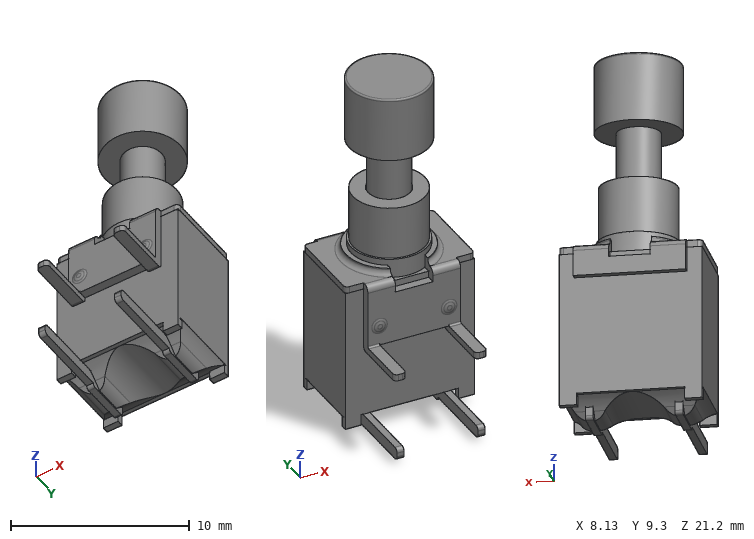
import cadquery as cq
import math

DIAGONAL = math.sqrt(0.5)

total_height = 21.22
sheet = 0.4

case_x = 8.13
case_y = 5.1
case_bottom = 1.2
case_top = 9.46
foot_bottom = 0.53
foot_x = 1.0
foot_y = sheet
case_front = -case_y / 2
case_back = case_y / 2

flange_diameter = 4.77
flange_top = 10.65
bushing_diameter = 4.52
bushing_top = 13.95
bore_diameter = 2.63

rod_diameter = 2.55
cap_diameter = 5.0
cap_bottom = 17.23
cap_rounding = 0.1

plate_top = case_top + sheet
plate_corner_radius = 0.25
collar_diameter = 5.43
collar_top = plate_top + sheet
collar_fillet = 0.32
slot_width = 2.35
slot_bottom = case_top - sheet
apron_width = 5.84
apron_thickness = 0.53
apron_front = case_front - apron_thickness
tab_width = 6.39
tab_bottom = 8.05
tab_back = case_back + sheet
front_bend_radius = 0.4
back_bend_radius = 0.35

leg_tip = -6.35
leg_pitch = 5.1
leg_width = 0.75
leg_top = 5.85
leg_bottom = leg_top - sheet
leg_heel_radius = 0.25
leg_root_radius = 0.1
tip_radius = 0.25
pin_thickness = 0.45
pin_bottom = 0.21
pin_top = pin_bottom + leg_width
pin_foot_length = 2.97
pin_foot_radius = 0.21

bump_pitch = 4.37
bump_z = 7.1
bump_base_radius = 0.49
bump_middle_radius = 0.35
bump_top_radius = 0.15
bump_height = 0.08
bump_middle_height = 0.05

mound_base_y = 2.3
mound_waist_y = 1.3
mound_crest_y = 0.83
mound_waist_x = 0.87
mound_crest_z = 0.08
flank_mid_rise = 0.6


def block(x_size, y_min, y_max, z_min, z_max, x_center=0.0):
    """Box centred on x_center in X, with its Y and Z limits given."""
    box = cq.Workplane("XY").box(x_size, y_max - y_min, z_max - z_min)
    return box.translate((x_center, (y_min + y_max) / 2, (z_min + z_max) / 2))


def cylinder(diameter, z_min, z_max):
    return cq.Workplane("XY").workplane(offset=z_min).circle(diameter / 2).extrude(z_max - z_min)


def make_sealing():
    """Two mounds round the pins, joined by a plug in the bottom of the case."""
    half_pitch = leg_pitch / 2
    outer_waist = half_pitch + mound_waist_x
    inner_waist = half_pitch - mound_waist_x
    case_edge = case_x / 2
    rise = case_bottom - foot_bottom
    flank_mid_z = foot_bottom + flank_mid_rise * rise
    flank_mid_x = (outer_waist + case_edge) / 2
    end_mid_y = (mound_waist_y + mound_base_y) / 2

    plug_half = case_x / 2 - foot_x
    plug_top = case_bottom + sheet

    cross_section = (
        cq.Workplane("XZ")
        .moveTo(-inner_waist, foot_bottom)
        .threePointArc((0, case_bottom), (inner_waist, foot_bottom))
        .threePointArc((half_pitch, mound_crest_z), (outer_waist, foot_bottom))
        .threePointArc((flank_mid_x, flank_mid_z), (case_edge, case_bottom))
        .lineTo(plug_half, case_bottom)
        .lineTo(plug_half, plug_top)
        .lineTo(-plug_half, plug_top)
        .lineTo(-plug_half, case_bottom)
        .lineTo(-case_edge, case_bottom)
        .threePointArc((-flank_mid_x, flank_mid_z), (-outer_waist, foot_bottom))
        .threePointArc((-half_pitch, mound_crest_z), (-inner_waist, foot_bottom))
        .close()
        .extrude(mound_base_y, both=True)
    )
    long_section = (
        cq.Workplane("YZ")
        .moveTo(-mound_crest_y, mound_crest_z)
        .lineTo(mound_crest_y, mound_crest_z)
        .lineTo(mound_waist_y, foot_bottom)
        .threePointArc((end_mid_y, flank_mid_z), (mound_base_y, case_bottom))
        .lineTo(mound_base_y, plug_top)
        .lineTo(-mound_base_y, plug_top)
        .lineTo(-mound_base_y, case_bottom)
        .threePointArc((-end_mid_y, flank_mid_z), (-mound_waist_y, foot_bottom))
        .close()
        .extrude(case_edge, both=True)
    )
    return cross_section.intersect(long_section)


def make_pin(x):
    """Flat pin lying along Y, with a deeper foot under the case."""
    foot_half = pin_foot_length / 2
    arm = block(pin_thickness, leg_tip, foot_half, pin_bottom, pin_top, x)
    arm = arm.faces("<Y").edges("|X").fillet(tip_radius)
    foot = block(pin_thickness, -foot_half, foot_half, 0, pin_top, x)
    foot = foot.faces("<Z").edges("|X").fillet(pin_foot_radius)
    return arm.union(foot)


def make_case():
    case = block(case_x, case_front, case_back, foot_bottom, case_top)
    gap_x = case_x - 2 * foot_x
    gap_y = case_y / 2 - foot_y
    case = case.cut(block(gap_x, case_front, case_back, foot_bottom, case_bottom))
    case = case.cut(block(case_x, -gap_y, gap_y, foot_bottom, case_bottom))
    case = case.union(cylinder(flange_diameter, case_top, flange_top))
    case = case.union(cylinder(bushing_diameter, flange_top, bushing_top))
    return case.cut(cylinder(bore_diameter, case_top, bushing_top))


def make_plunger():
    cap = cylinder(cap_diameter, cap_bottom, total_height).faces(">Z").edges().fillet(cap_rounding)
    return cap.union(cylinder(rod_diameter, case_top, cap_bottom))


def make_collar():
    """Raised ring flaring into the plate, trimmed where the plate bends down."""
    ring_radius = collar_diameter / 2
    hole_radius = flange_diameter / 2
    flare_radius = ring_radius + collar_fillet
    flare_center = (flare_radius, plate_top + collar_fillet)
    diagonal = collar_fillet * DIAGONAL
    collar = (
        cq.Workplane("XZ")
        .moveTo(hole_radius, case_top)
        .lineTo(flare_radius, case_top)
        .lineTo(flare_radius, plate_top)
        .threePointArc(
            (flare_center[0] - diagonal, flare_center[1] - diagonal),
            (ring_radius, flare_center[1]),
        )
        .lineTo(ring_radius, collar_top)
        .lineTo(hole_radius, collar_top)
        .close()
        .revolve(360, (0, 0, 0), (0, 1, 0))
    )
    bend_lines = (apron_front + front_bend_radius, tab_back - back_bend_radius)
    return collar.intersect(block(case_x, *bend_lines, case_top, collar_top))


def make_leg(x):
    """Leg bent forward from the bottom of the apron, rounded inside and outside the bend."""
    root_center = (apron_front - leg_root_radius, leg_top + leg_root_radius)
    heel_front = case_front - leg_heel_radius
    heel_center_z = leg_bottom + leg_heel_radius
    leg = (
        cq.Workplane("YZ")
        .moveTo(leg_tip, leg_bottom)
        .lineTo(leg_tip, leg_top)
        .lineTo(root_center[0], leg_top)
        .threePointArc(
            (root_center[0] + leg_root_radius * DIAGONAL, root_center[1] - leg_root_radius * DIAGONAL),
            (apron_front, root_center[1]),
        )
        .lineTo(case_front, root_center[1])
        .lineTo(case_front, heel_center_z)
        .threePointArc(
            (heel_front + leg_heel_radius * DIAGONAL, heel_center_z - leg_heel_radius * DIAGONAL),
            (heel_front, leg_bottom),
        )
        .close()
        .extrude(leg_width / 2, both=True)
    )
    return leg.faces("<Y").edges("|Z").fillet(tip_radius).translate((x, 0, 0))


def make_bump(x):
    """Small bump with two sloping rings and a flat top, on the front of the apron."""
    bump = (
        cq.Workplane("XY")
        .lineTo(bump_base_radius, 0)
        .lineTo(bump_middle_radius, -bump_middle_height)
        .lineTo(bump_top_radius, -bump_height)
        .lineTo(0, -bump_height)
        .close()
        .revolve(360, (0, 0, 0), (0, 1, 0))
    )
    return bump.translate((x, apron_front, bump_z))


def make_frame():
    plate = block(case_x, case_front, case_back, case_top, plate_top)
    plate = plate.edges("|Z").fillet(plate_corner_radius)
    apron = block(apron_width, apron_front, case_front, leg_top, plate_top)
    apron = apron.faces("<Y").edges(">Z").fillet(front_bend_radius)
    tab = block(tab_width, case_back, tab_back, tab_bottom, plate_top)
    tab = tab.faces(">Y").edges(">Z").fillet(back_bend_radius)
    frame = plate.union(apron).union(tab).union(make_collar())
    for side in (-1, 1):
        leg_x = side * (apron_width - leg_width) / 2
        frame = frame.union(make_leg(leg_x))
        frame = frame.union(make_bump(side * bump_pitch / 2))
    frame = frame.cut(cylinder(flange_diameter, case_top, collar_top))
    return frame.cut(block(slot_width, apron_front, tab_back, slot_bottom, collar_top))


sealing_blank = make_sealing()
case = make_case().cut(sealing_blank)
pins = [make_pin(side * leg_pitch / 2) for side in (-1, 1)]
sealing = sealing_blank.cut(pins[0]).cut(pins[1])
plunger = make_plunger()
frame = make_frame()

bodies = [case, sealing, frame, plunger, *pins]
result = cq.Compound.makeCompound([body.solids().val() for body in bodies])